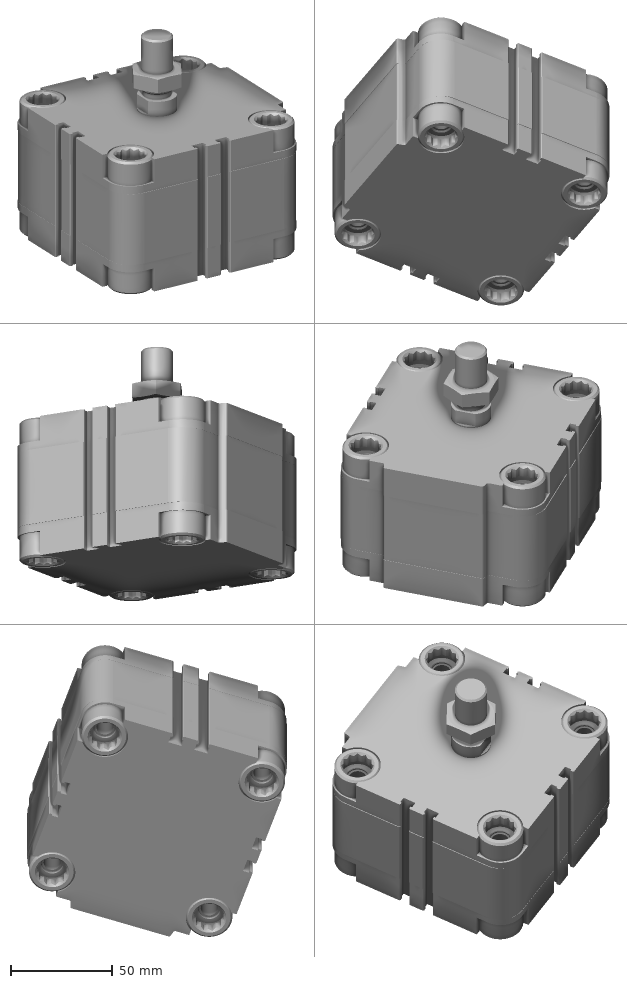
import cadquery as cq
import math

TOTAL_HEIGHT = 111.0
HOUSING_HEIGHT = 71.0
CAP_HEIGHT = 16.5

CAP_HALF_X = 53.2
CAP_HALF_Y = 53.5
BARREL_HALF_X = 53.5
BARREL_HALF_Y = 53.4
CORNER_CENTER_X = 40.8
CAP_LAND_Y = 57.5
BARREL_LAND_Y = 57.3
LAND_HALF_TOP = 26.0
LAND_HALF_ROOT = 27.0
LAND_ROUND = 1.0

SLOT_OFFSET = 6.8
SLOT_NECK_WIDTH = 5.1
SLOT_WIDTH = 6.8
SIDE_SLOT_FLOOR = 48.3
FRONT_SLOT_FLOOR = 48.1
SLOT_LIP_INNER = 51.5
SLOT_MOUTH_CHAMFER = 0.4

SCREW_POSITION = 41.0
HEAD_DIAMETER = 23.0
HEAD_CHAMFER = 1.0
NOTCH_DEPTH = 12.4
NOTCH_EDGE = 34.7
SOCKET_RIM_DIAMETER = 17.0
SOCKET_POINT_DIAMETER = 16.0
SOCKET_RELIEF_DIAMETER = 16.0
SOCKET_TEETH_DEPTH = 5.8
SOCKET_DEPTH = 8.3
SCREW_HOLE_DIAMETER = 8.3
COUNTERBORE_DIAMETER = 10.4
COUNTERBORE_DEPTH = 1.1
COUNTERSINK_DIAMETER = 11.1

ROD_DIAMETER = 20.0
ROD_SHOULDER_Z = 79.0
FLAT_BOTTOM_Z = 71.8
ACROSS_ROD_FLATS = 17.0
NECK_DIAMETER = 14.2
THREAD_DIAMETER = 16.0
THREAD_START_Z = 81.6
THREAD_CHAMFER = 0.9

NUT_BOTTOM_Z = 84.9
NUT_HEIGHT = 8.0
NUT_ACROSS_FLATS = 24.0
NUT_FACE_DIAMETER = 23.0
NUT_CHAMFER_HEIGHT = 0.4


def slot_pair(wall, floor, height):
    """Two T-slots with chamfered mouths, cut into a wall that faces -Y."""
    neck_half = SLOT_NECK_WIDTH / 2
    mouth_half = neck_half + SLOT_MOUTH_CHAMFER
    slot = (
        cq.Workplane("XY")
        .moveTo(-mouth_half, -wall)
        .lineTo(-neck_half, -wall + SLOT_MOUTH_CHAMFER)
        .lineTo(-neck_half, -SLOT_LIP_INNER)
        .lineTo(-SLOT_WIDTH / 2, -SLOT_LIP_INNER)
        .lineTo(-SLOT_WIDTH / 2, -floor)
        .lineTo(SLOT_WIDTH / 2, -floor)
        .lineTo(SLOT_WIDTH / 2, -SLOT_LIP_INNER)
        .lineTo(neck_half, -SLOT_LIP_INNER)
        .lineTo(neck_half, -wall + SLOT_MOUTH_CHAMFER)
        .lineTo(mouth_half, -wall)
        .close()
        .extrude(height)
    )
    return slot.translate((-SLOT_OFFSET, 0, 0)).union(slot.translate((SLOT_OFFSET, 0, 0)))


def housing_layer(half_x, half_y, land_y, height):
    """Rounded block with the raised land on its +Y wall and slots in its other walls."""
    block = (
        cq.Workplane("XY")
        .rect(2 * half_x, 2 * half_y)
        .extrude(height)
        .edges("|Z")
        .fillet(half_x - CORNER_CENTER_X)
    )
    land = (
        cq.Workplane("XY")
        .moveTo(-LAND_HALF_ROOT, 0)
        .lineTo(-LAND_HALF_ROOT, half_y)
        .lineTo(-LAND_HALF_TOP, land_y)
        .lineTo(LAND_HALF_TOP, land_y)
        .lineTo(LAND_HALF_ROOT, half_y)
        .lineTo(LAND_HALF_ROOT, 0)
        .close()
        .extrude(height)
    )
    near_land = cq.selectors.BoxSelector(
        (-LAND_HALF_ROOT - LAND_ROUND, half_y - LAND_ROUND, 0),
        (LAND_HALF_ROOT + LAND_ROUND, land_y + LAND_ROUND, height),
    )
    upright = cq.selectors.ParallelDirSelector(cq.Vector(0, 0, 1))
    layer = block.union(land).edges(upright & near_land).fillet(LAND_ROUND)

    side_slots = slot_pair(half_x, SIDE_SLOT_FLOOR, height)
    layer = layer.cut(slot_pair(half_y, FRONT_SLOT_FLOOR, height))
    for angle in (-90, 90):
        layer = layer.cut(side_slots.rotate((0, 0, 0), (0, 0, 1), angle))
    return layer


def corner_points():
    """Axes of the four screws at each end."""
    offsets = (-SCREW_POSITION, SCREW_POSITION)
    return [(x, y) for x in offsets for y in offsets]


def corner_notches():
    """Square clearances that free the screw heads at the upper corners."""
    size = BARREL_HALF_X - NOTCH_EDGE
    middle = NOTCH_EDGE + size / 2
    return (
        cq.Workplane("XY", origin=(0, 0, HOUSING_HEIGHT - NOTCH_DEPTH))
        .rect(2 * middle, 2 * middle, forConstruction=True)
        .vertices()
        .rect(size, size)
        .extrude(NOTCH_DEPTH)
    )


def screw_pockets():
    """Round pockets that hold the screw heads."""
    return (
        cq.Workplane("XY", origin=(0, 0, HOUSING_HEIGHT - NOTCH_DEPTH))
        .pushPoints(corner_points())
        .circle(HEAD_DIAMETER / 2)
        .extrude(NOTCH_DEPTH)
    )


def screw_heads():
    """Heads that fill the pockets, with a chamfered outer edge."""
    return screw_pockets().faces(">Z").edges().chamfer(HEAD_CHAMFER)


def cone_below(depth, lower_diameter, upper_diameter):
    """45 degree cone whose wide end lies at the given depth below the origin."""
    height = (upper_diameter - lower_diameter) / 2
    cone = cq.Solid.makeCone(
        lower_diameter / 2, upper_diameter / 2, height, pnt=cq.Vector(0, 0, -depth - height)
    )
    return cq.Workplane(cone)


def bore_below(depth, diameter, length):
    """Cylinder whose upper end lies at the given depth below the origin."""
    return cq.Workplane("XY", origin=(0, 0, -depth)).circle(diameter / 2).extrude(-length)


def socket():
    """Twelve-point socket with its relief and counterbore, sunk below the origin."""
    hexagon = cq.Workplane("XY").polygon(6, SOCKET_POINT_DIAMETER).extrude(-SOCKET_TEETH_DEPTH)
    points = hexagon.union(hexagon.rotate((0, 0, 0), (0, 0, 1), 30))
    ridge_diameter = SOCKET_POINT_DIAMETER * math.cos(math.radians(30)) / math.cos(math.radians(15))
    return (
        points.union(cone_below(0, ridge_diameter, SOCKET_RIM_DIAMETER))
        .union(bore_below(SOCKET_TEETH_DEPTH, SOCKET_RELIEF_DIAMETER, SOCKET_DEPTH - SOCKET_TEETH_DEPTH))
        .union(cone_below(SOCKET_DEPTH, COUNTERBORE_DIAMETER, COUNTERSINK_DIAMETER))
        .union(bore_below(SOCKET_DEPTH, COUNTERBORE_DIAMETER, COUNTERBORE_DEPTH))
    )


def both_ends(shape):
    """The shape together with its mirror image at the other end."""
    return shape.union(shape.mirror("XY", (0, 0, HOUSING_HEIGHT / 2)))


def make_housing():
    """Barrel with its two caps, screws and rod bearing as one solid."""
    upper_cap_z = HOUSING_HEIGHT - CAP_HEIGHT
    barrel = housing_layer(
        BARREL_HALF_X, BARREL_HALF_Y, BARREL_LAND_Y, upper_cap_z - CAP_HEIGHT
    )
    cap = housing_layer(CAP_HALF_X, CAP_HALF_Y, CAP_LAND_Y, CAP_HEIGHT)
    body = barrel.translate((0, 0, CAP_HEIGHT)).union(cap).union(cap.translate((0, 0, upper_cap_z)))

    body = body.cut(both_ends(corner_notches().union(screw_pockets())))
    body = body.union(both_ends(screw_heads()))
    for x, y in corner_points():
        body = body.cut(both_ends(socket().translate((x, y, HOUSING_HEIGHT))))
    screw_holes = (
        cq.Workplane("XY").pushPoints(corner_points()).circle(SCREW_HOLE_DIAMETER / 2).extrude(HOUSING_HEIGHT)
    )
    rod_bore = cq.Workplane("XY", origin=(0, 0, upper_cap_z)).circle(ROD_DIAMETER / 2).extrude(CAP_HEIGHT)
    return body.cut(screw_holes).cut(rod_bore)


def make_rod():
    """Stepped rod with two wrench flats, a neck and a plain threaded end."""
    thread_r = THREAD_DIAMETER / 2
    neck_r = NECK_DIAMETER / 2
    rod = (
        cq.Workplane("XZ")
        .moveTo(0, HOUSING_HEIGHT - CAP_HEIGHT)
        .lineTo(ROD_DIAMETER / 2, HOUSING_HEIGHT - CAP_HEIGHT)
        .lineTo(ROD_DIAMETER / 2, ROD_SHOULDER_Z)
        .lineTo(neck_r, ROD_SHOULDER_Z)
        .lineTo(neck_r, THREAD_START_Z)
        .lineTo(thread_r, THREAD_START_Z + THREAD_CHAMFER)
        .lineTo(thread_r, TOTAL_HEIGHT - THREAD_CHAMFER)
        .lineTo(thread_r - THREAD_CHAMFER, TOTAL_HEIGHT)
        .lineTo(0, TOTAL_HEIGHT)
        .close()
        .revolve(360, (0, 0, 0), (0, 1, 0))
    )
    for side in (-1, 1):
        flat = cq.Workplane("XY").box(
            ROD_DIAMETER, ROD_DIAMETER, ROD_SHOULDER_Z - FLAT_BOTTOM_Z, centered=(True, True, False)
        )
        rod = rod.cut(flat.translate((0, side * (ACROSS_ROD_FLATS + ROD_DIAMETER) / 2, FLAT_BOTTOM_Z)))
    return rod


def make_nut():
    """Hexagon nut with corners facing Y and both faces chamfered."""
    corner_r = NUT_ACROSS_FLATS / math.sqrt(3)
    face_r = NUT_FACE_DIAMETER / 2
    hexagon = (
        cq.Workplane("XY")
        .polygon(6, 2 * corner_r)
        .extrude(NUT_HEIGHT)
        .rotate((0, 0, 0), (0, 0, 1), 30)
    )
    envelope = (
        cq.Workplane("XZ")
        .moveTo(0, 0)
        .lineTo(face_r, 0)
        .lineTo(corner_r, NUT_CHAMFER_HEIGHT)
        .lineTo(corner_r, NUT_HEIGHT - NUT_CHAMFER_HEIGHT)
        .lineTo(face_r, NUT_HEIGHT)
        .lineTo(0, NUT_HEIGHT)
        .close()
        .revolve(360, (0, 0, 0), (0, 1, 0))
    )
    bore = cq.Workplane("XY").circle(THREAD_DIAMETER / 2).extrude(NUT_HEIGHT)
    return hexagon.intersect(envelope).cut(bore).translate((0, 0, NUT_BOTTOM_Z))


housing = make_housing()
rod = make_rod()
nut = make_nut()
result = cq.Compound.makeCompound([housing.val(), rod.val(), nut.val()])